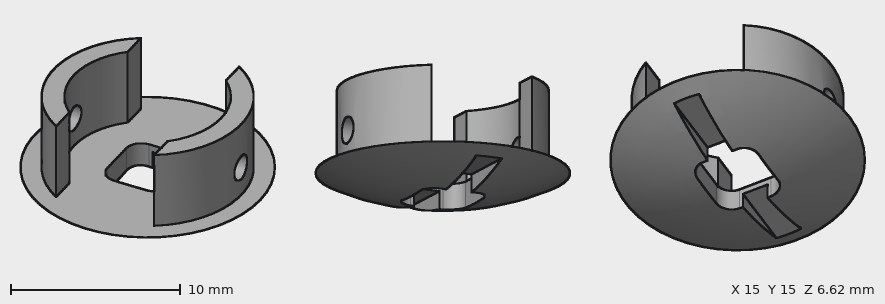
import cadquery as cq
import math

cap_radius = 7.5
dome_height = 1.75

wall_outer_radius = 6.25
wall_inner_radius = 4.9
wall_height = 5.0
wall_gap = 6.54

pin_diameter = 1.6
pin_height = 1.92

opening_x = 4.11
opening_y = 4.38
opening_corner_radius = 0.99

groove_width = 1.65
groove_roof_depth = 0.5


def make_cap():
    """Spherical cap revolved about Z."""
    sphere_radius = (cap_radius**2 + dome_height**2) / (2 * dome_height)
    half_angle = math.asin(cap_radius / sphere_radius) / 2
    sphere_center_z = sphere_radius - dome_height
    arc_middle = (
        sphere_radius * math.sin(half_angle),
        sphere_center_z - sphere_radius * math.cos(half_angle),
    )
    return (
        cq.Workplane("XZ")
        .lineTo(cap_radius, 0)
        .threePointArc(arc_middle, (0, -dome_height))
        .close()
        .revolve(360, (0, 0), (0, 1))
    )


def make_walls():
    """Ring split by a straight gap along Y and drilled along X."""
    ring = (
        cq.Workplane("XY")
        .circle(wall_outer_radius)
        .circle(wall_inner_radius)
        .extrude(wall_height)
    )
    gap = cq.Workplane("XY").box(
        wall_gap, 2 * cap_radius, wall_height, centered=(True, True, False)
    )
    pin_hole = (
        cq.Workplane("YZ")
        .center(0, pin_height)
        .circle(pin_diameter / 2)
        .extrude(cap_radius, both=True)
    )
    return ring.cut(gap).cut(pin_hole)


def make_opening():
    return (
        cq.Workplane("XY")
        .rect(opening_x, opening_y)
        .extrude(-dome_height)
        .edges("|Z")
        .fillet(opening_corner_radius)
    )


def make_groove():
    return (
        cq.Workplane("XY", origin=(0, 0, -groove_roof_depth))
        .rect(groove_width, 2 * cap_radius)
        .extrude(-dome_height)
    )


result = make_cap().cut(make_opening()).cut(make_groove()).union(make_walls())